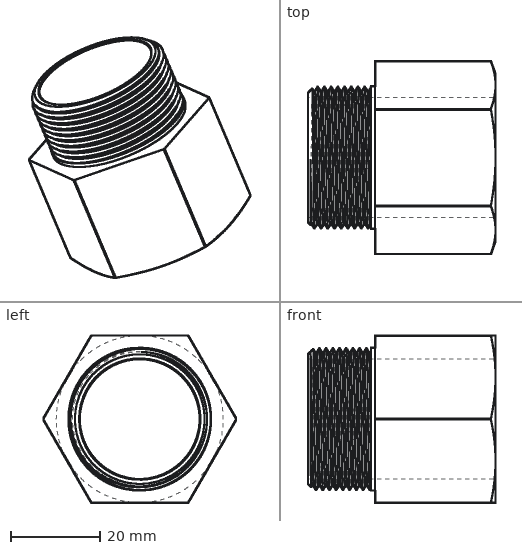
import cadquery as cq
import math

total_length = 42.0
hex_flats = 37.5
hex_corners = 43.15
hex_length = 27.0
bore_diameter = 26.8
bore_chamfer = 0.17

collar_diameter = 32.0
collar_length = 0.9

ridge_length = 15.02
ridge_turns = 10
thread_pitch = ridge_length / ridge_turns
thread_crest_radius = 15.9
thread_root_radius = 15.05
ridge_width = 1.05
ridge_sink = 0.15
ridge_start = -0.45
lead_in_radius = 14.5

corner_relief_length = 1.05
corner_relief_end_radius = 18.7

hex_start = total_length - hex_length
collar_start = hex_start - collar_length


def cylinder_x(radius, start, end):
    """Solid cylinder along X between two positions."""
    return cq.Workplane("YZ", origin=(start, 0, 0)).circle(radius).extrude(end - start)


def turned_x(points):
    """Solid of revolution about X from (x, radius) points."""
    return cq.Workplane("XY").polyline(points).close().revolve(360, (0, 0, 0), (1, 0, 0))


def hexagon():
    """Hexagon with flats facing +Z and -Z, its corners trimmed by a turned envelope."""
    prism = (
        cq.Workplane("YZ", origin=(hex_start, 0, 0))
        .polygon(6, hex_flats / math.cos(math.pi / 6))
        .extrude(hex_length)
    )
    corner_radius = hex_corners / 2
    envelope = turned_x([
        (hex_start, 0),
        (hex_start, corner_radius),
        (total_length - corner_relief_length, corner_radius),
        (total_length, corner_relief_end_radius),
        (total_length, 0),
    ])
    return prism.intersect(envelope)


def thread_ridge():
    """Right-handed triangular ridge, wound about X from the +Z side."""
    inner_radius = thread_root_radius - ridge_sink
    flank_slope = ridge_width / 2 / (thread_crest_radius - thread_root_radius)
    half_base = flank_slope * (thread_crest_radius - inner_radius)
    helix = cq.Wire.makeHelix(thread_pitch, ridge_length, thread_root_radius)
    ridge = (
        cq.Workplane("XZ")
        .polyline([
            (inner_radius, -half_base),
            (thread_crest_radius, 0),
            (inner_radius, half_base),
        ])
        .close()
        .sweep(cq.Workplane(obj=helix), isFrenet=True)
    )
    ridge = ridge.rotate((0, 0, 0), (0, 1, 0), 90)
    ridge = ridge.rotate((0, 0, 0), (1, 0, 0), 180)
    return ridge.translate((ridge_start, 0, 0))


def threaded_spigot():
    """Threaded core with a 45 degree lead-in cone at its free end."""
    core = cylinder_x(thread_root_radius, 0, collar_start)
    cone_end_radius = lead_in_radius + collar_start
    envelope = turned_x([
        (0, 0),
        (0, lead_in_radius),
        (collar_start, cone_end_radius),
        (collar_start, 0),
    ])
    trimmed_ridge = thread_ridge().intersect(envelope)
    return core.intersect(envelope).union(trimmed_ridge)


def bore():
    """Through bore with a small chamfer at the threaded end."""
    bore_radius = bore_diameter / 2
    return turned_x([
        (0, 0),
        (0, bore_radius + bore_chamfer),
        (bore_chamfer, bore_radius),
        (total_length, bore_radius),
        (total_length, 0),
    ])


collar = cylinder_x(collar_diameter / 2, collar_start, hex_start)
result = threaded_spigot().union(collar).union(hexagon()).cut(bore())